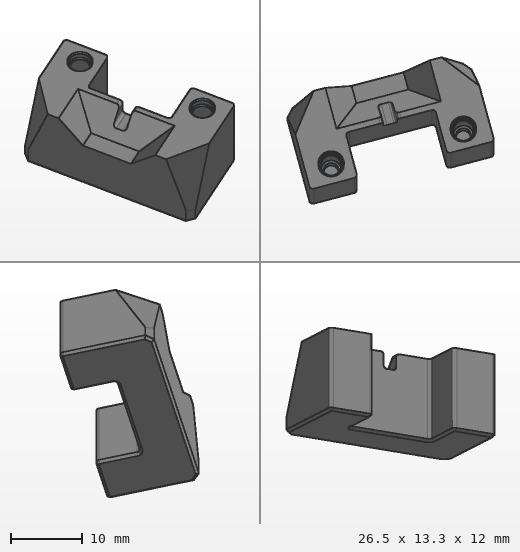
import cadquery as cq

length = 26.5
depth = 13.35
height = 12.0
front_chamfer = 1.0
bottom_chamfer = 0.4
corner_radius = 0.5

notch_width = 12.88
notch_depth = 6.5

cut_along_x = 4.05
cut_along_y = 5.3
cut_along_z = 12.15

pocket_top_width = 15.03
pocket_floor_width = 7.47
pocket_top_reach = 6.02
pocket_floor_reach = 2.55
pocket_depth = 3.85

slot_width = 2.01
slot_depth = 2.45

hole_x = 9.51
hole_from_back = 2.75
hole_rim_diameter = 3.6
hole_upper_diameter = 3.2
hole_lower_diameter = 2.8
hole_pilot_diameter = 2.1
hole_upper_depth = 1.0
hole_lower_depth = 5.0
hole_depth = 7.0


def make_body():
    """U-shaped block with rounded rear corners and a chamfered bottom edge."""
    body = cq.Workplane("XY").box(length, depth, height, centered=(True, False, False))
    notch = (
        cq.Workplane("XY")
        .box(notch_width, notch_depth, height, centered=(True, False, False))
        .translate((0, depth - notch_depth, 0))
    )
    body = body.cut(notch)
    body = body.edges("|Z and <Y").chamfer(front_chamfer)
    rear_region = cq.selectors.BoxSelector((-length, depth / 3, 0), (length, 2 * depth, height))
    body = body.edges("|Z").edges(rear_region).fillet(corner_radius)
    return body.faces("<Z").edges().chamfer(bottom_chamfer)


def make_corner_cut(side):
    """Tetrahedron at the front top corner; side is -1 for left and 1 for right."""
    corner = cq.Vector(side * length / 2, 0, height)
    along_x = corner + cq.Vector(-side * cut_along_x, 0, 0)
    along_y = corner + cq.Vector(0, cut_along_y, 0)
    along_z = corner + cq.Vector(0, 0, -cut_along_z)
    triangles = [
        (corner, along_x, along_y),
        (corner, along_y, along_z),
        (corner, along_z, along_x),
        (along_x, along_y, along_z),
    ]
    faces = [cq.Face.makeFromWires(cq.Wire.makePolygon(points, close=True)) for points in triangles]
    return cq.Solid.makeSolid(cq.Shell.makeShell(faces))


def make_pocket():
    """Trapezoid seen from the front, limited by a sloping rear wall."""
    floor_z = height - pocket_depth
    across = (
        cq.Workplane("XZ")
        .moveTo(-pocket_floor_width / 2, floor_z)
        .lineTo(pocket_floor_width / 2, floor_z)
        .lineTo(pocket_top_width / 2, height)
        .lineTo(-pocket_top_width / 2, height)
        .close()
        .extrude(-depth)
    )
    lengthwise = (
        cq.Workplane("YZ")
        .moveTo(0, floor_z)
        .lineTo(pocket_floor_reach, floor_z)
        .lineTo(pocket_top_reach, height)
        .lineTo(0, height)
        .close()
        .extrude(length / 2, both=True)
    )
    return across.intersect(lengthwise)


def make_slot():
    """Slot along Y with rounded floor corners and rounded lips at the top."""
    half_width = slot_width / 2
    radius = corner_radius
    floor_z = height - slot_depth
    return (
        cq.Workplane("XZ")
        .moveTo(-half_width - radius, height)
        .radiusArc((-half_width, height - radius), radius)
        .lineTo(-half_width, floor_z + radius)
        .radiusArc((-half_width + radius, floor_z), -radius)
        .lineTo(half_width - radius, floor_z)
        .radiusArc((half_width, floor_z + radius), -radius)
        .lineTo(half_width, height - radius)
        .radiusArc((half_width + radius, height), radius)
        .close()
        .extrude(-depth)
    )


def make_hole(x):
    """Hole with a chamfered rim, a 45 degree cone between its bores and a narrower blind pilot below."""
    rim_radius = hole_rim_diameter / 2
    upper_radius = hole_upper_diameter / 2
    lower_radius = hole_lower_diameter / 2
    pilot_radius = hole_pilot_diameter / 2
    rim_depth = rim_radius - upper_radius
    cone_depth = upper_radius - lower_radius
    return (
        cq.Workplane("XZ")
        .moveTo(0, 0)
        .lineTo(rim_radius, 0)
        .lineTo(upper_radius, -rim_depth)
        .lineTo(upper_radius, -hole_upper_depth)
        .lineTo(lower_radius, -hole_upper_depth - cone_depth)
        .lineTo(lower_radius, -hole_lower_depth)
        .lineTo(pilot_radius, -hole_lower_depth)
        .lineTo(pilot_radius, -hole_depth)
        .lineTo(0, -hole_depth)
        .close()
        .revolve(360, (0, 0, 0), (0, 1, 0))
        .translate((x, depth - hole_from_back, height))
    )


result = make_body().cut(make_pocket()).cut(make_slot())
for side in (-1, 1):
    result = result.cut(cq.Workplane(make_corner_cut(side)))
    result = result.cut(make_hole(side * hole_x))